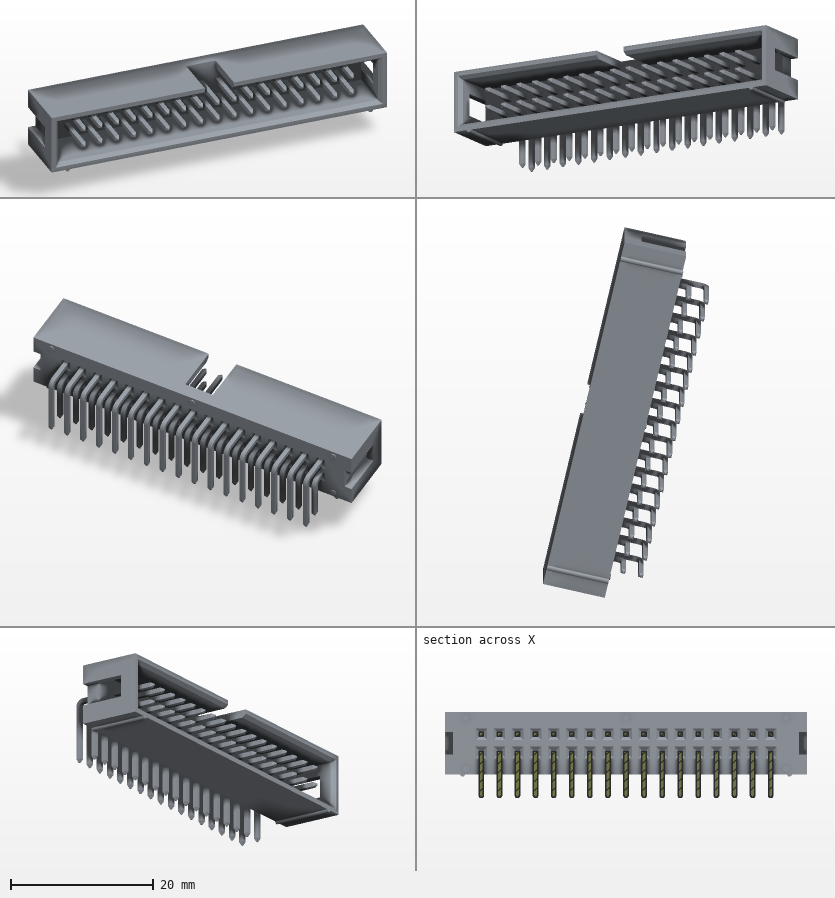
import cadquery as cq


LENGTH = 50.85
DEPTH = 8.9
HEIGHT = 8.75
WALL = 1.1
FLOOR = 2.0
MOUTH_LENGTH = 0.6
MOUTH_FLARE = 0.45

KEY_WIDTH = 4.4
WINDOW_HEIGHT = 3.2
WINDOW_END = 6.45

PITCH = 2.55
COLUMNS = 17
PIN = 0.65
PIN_REACH = 8.7
PIN_BEND = 1.1
TIP_LENGTH = 0.5
TIP_WIDTH = 0.2
BACK_REACH = 4.35
TAIL_DROP = 3.45

FUNNEL = 1.65
FUNNEL_DEPTH = (FUNNEL - PIN) / 2

BOSS_DIAMETER = 0.85
BOSS_HEIGHT = 0.15
BOSS_SPACING = 22.5
BOSS_ROW_SPACING = 7.15
RIB_RADIUS = 0.35
RIB_HEIGHT = 0.3
RIB_OFFSET = 23.0

MID_Z = HEIGHT / 2
COLUMN_YS = [(i - (COLUMNS - 1) / 2) * PITCH for i in range(COLUMNS)]
TOP_ROW_Z = MID_Z + PITCH / 2
BOTTOM_ROW_Z = MID_Z - PITCH / 2
TOP_TAIL_X = PIN / 2 - BACK_REACH
BOTTOM_TAIL_X = TOP_TAIL_X + PITCH


def block(x_range, y_range, z_range):
    """Box between the given limits along each axis."""
    sizes = [end - start for start, end in (x_range, y_range, z_range)]
    corner = (x_range[0], y_range[0], z_range[0])
    return cq.Workplane("XY").box(*sizes, centered=False).translate(corner)


def make_shell():
    """Open box with a chamfered mouth, a key notch and a recessed window at each end."""
    shell = block((0, DEPTH), (-LENGTH / 2, LENGTH / 2), (0, HEIGHT))
    inner_y = LENGTH / 2 - WALL
    cavity = block((FLOOR, DEPTH), (-inner_y, inner_y), (WALL, HEIGHT - WALL))
    shell = shell.cut(cavity)
    mouth = (
        cq.Workplane("YZ", origin=(DEPTH - MOUTH_LENGTH, 0, MID_Z))
        .rect(2 * inner_y, HEIGHT - 2 * WALL)
        .workplane(offset=MOUTH_LENGTH)
        .rect(2 * (inner_y + MOUTH_FLARE), HEIGHT - 2 * WALL + 2 * MOUTH_FLARE)
        .loft(ruled=True)
    )
    shell = shell.cut(mouth)
    notch = block((FLOOR, DEPTH), (-KEY_WIDTH / 2, KEY_WIDTH / 2), (MID_Z, HEIGHT))
    shell = shell.cut(notch)
    window_z = (MID_Z - WINDOW_HEIGHT / 2, MID_Z + WINDOW_HEIGHT / 2)
    for y_range in ((-LENGTH / 2, -inner_y), (inner_y, LENGTH / 2)):
        shell = shell.cut(block((0, WINDOW_END), y_range, window_z))
    return shell


def make_bosses():
    """Two rows of round standoffs on the back face."""
    return (
        cq.Workplane("YZ", origin=(0, 0, MID_Z))
        .rarray(BOSS_SPACING, BOSS_ROW_SPACING, 3, 2)
        .circle(BOSS_DIAMETER / 2)
        .extrude(-BOSS_HEIGHT)
    )


def make_ribs():
    """Round ribs along the depth of the underside, one near each end."""
    center_z = RIB_RADIUS - RIB_HEIGHT
    rods = (
        cq.Workplane("YZ")
        .pushPoints([(-RIB_OFFSET, center_z), (RIB_OFFSET, center_z)])
        .circle(RIB_RADIUS)
        .extrude(DEPTH)
    )
    return rods.cut(block((0, DEPTH), (-LENGTH / 2, LENGTH / 2), (0, HEIGHT)))


def make_funnels(row_z):
    """Pyramid-shaped cutters that narrow to the pin section, one per pin of a row."""
    funnel = (
        cq.Workplane("YZ", origin=(0, 0, row_z))
        .rect(FUNNEL, FUNNEL)
        .workplane(offset=FUNNEL_DEPTH)
        .rect(PIN, PIN)
        .loft(ruled=True)
        .val()
    )
    return [funnel.moved(cq.Location(cq.Vector(0, y, 0))) for y in COLUMN_YS]


def pin_tip(base):
    """Blunt pyramid that closes a pin end, grown along the normal of the given workplane."""
    return (
        base.rect(PIN, PIN)
        .workplane(offset=TIP_LENGTH)
        .rect(TIP_WIDTH, TIP_WIDTH)
        .loft(ruled=True)
    )


def make_pins(tail_x, row_z):
    """Right-angle pins of one row: a contact along X, a bend and a tail pointing down."""
    contact_end = PIN_REACH - TIP_LENGTH
    tail_end = -TAIL_DROP + TIP_LENGTH
    center_radius = PIN_BEND - PIN / 2
    path = (
        cq.Workplane("XZ")
        .moveTo(contact_end, row_z)
        .lineTo(tail_x + center_radius, row_z)
        .tangentArcPoint((tail_x, row_z - center_radius), relative=False)
        .lineTo(tail_x, tail_end)
    )
    bar = cq.Workplane("YZ", origin=(contact_end, 0, row_z)).rect(PIN, PIN).sweep(path)
    contact_tip = pin_tip(cq.Workplane("YZ", origin=(contact_end, 0, row_z)))
    tail_tip = pin_tip(cq.Workplane("XY", origin=(tail_x, 0, tail_end)).transformed(rotate=(180, 0, 0)))
    pin = bar.union(contact_tip).union(tail_tip).val()
    return [pin.moved(cq.Location(cq.Vector(0, y, 0))) for y in COLUMN_YS]


housing = make_shell().union(make_bosses()).union(make_ribs()).val()
housing = housing.cut(*make_funnels(TOP_ROW_Z), *make_funnels(BOTTOM_ROW_Z))

pins = make_pins(TOP_TAIL_X, TOP_ROW_Z) + make_pins(BOTTOM_TAIL_X, BOTTOM_ROW_Z)
result = cq.Workplane("XY").newObject([housing.fuse(*pins)])